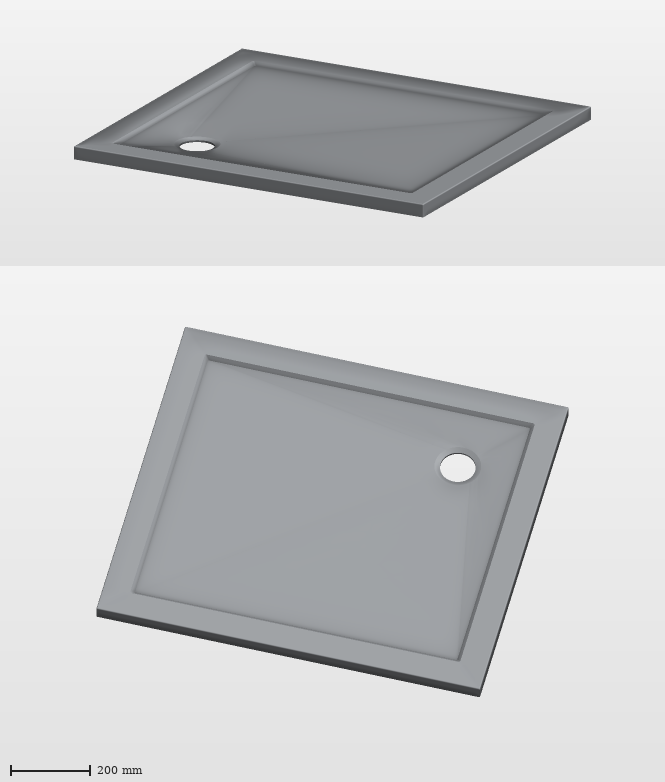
import cadquery as cq
import math

length = 1000.0
width = 900.0
height = 35.0
edge_round = 3.0
corner_round = 4.0
outline_round = 2.0

rim_width = 70.0
wall_run = 10.0
rim_drop = 2.0
wall_drop = 9.0
floor_inset = rim_width + wall_run
rim_z = height - rim_drop
floor_z = rim_z - wall_drop

drain_inset = 230.0
drain_x = drain_inset - length / 2
drain_y = drain_inset - width / 2
drain_radius = 45.0
recess_radius = 59.0
recess_z = 10.0
recess_drop = 5.0

crease_y = 49.0
crease_angle_right = 9.0
crease_angle_left = 168.0
CORNER_ANGLES = (45, 135, 225, 315)
seam_angle = 0.5


def ring_point(angle):
    """Point on the upper edge of the drain recess."""
    a = math.radians(angle)
    x = drain_x + recess_radius * math.cos(a)
    y = drain_y + recess_radius * math.sin(a)
    return cq.Vector(x, y, recess_z)


def ring_arc(start_angle, end_angle):
    """Stretch of the upper edge of the drain recess."""
    middle_angle = (start_angle + end_angle) / 2
    return cq.Edge.makeThreePointArc(ring_point(start_angle), ring_point(middle_angle), ring_point(end_angle))


def corner_arc(inset, z, angle):
    """Start, middle and end of one rounded corner, counterclockwise; angle points to the corner."""
    a = math.radians(angle)
    center_x = math.copysign(length / 2 - inset - corner_round, math.cos(a))
    center_y = math.copysign(width / 2 - inset - corner_round, math.sin(a))
    turns = [math.radians(angle + step) for step in (-45, 0, 45)]
    return [
        cq.Vector(center_x + corner_round * math.cos(t), center_y + corner_round * math.sin(t), z)
        for t in turns
    ]


def tray_loop(inset, z):
    """Rounded rectangle parallel to the tray outline."""
    corners = [corner_arc(inset, z, angle) for angle in CORNER_ANGLES]
    edges = []
    for i, corner in enumerate(corners):
        edges.append(cq.Edge.makeThreePointArc(*corner))
        edges.append(cq.Edge.makeLine(corner[2], corners[(i + 1) % len(corners)][0]))
    return cq.Wire.assembleEdges(edges)


def ruled_solid(lower, upper):
    """Solid with straight-ruled sides between two loops."""
    return cq.Workplane(cq.Solid.makeLoft([lower, upper], True))


def floor_panel(start, end, start_angle, end_angle):
    """Ruled panel from a straight stretch of wall foot to an arc of the drain recess."""
    arc = ring_arc(start_angle, end_angle)
    return cq.Face.makeRuledSurface(cq.Edge.makeLine(start, end), arc)


def corner_seam(corner, angle):
    """Narrow ruled blend from a rounded wall corner to the drain recess."""
    half = seam_angle / 2
    arc = ring_arc(angle - half, angle + half)
    return cq.Face.makeRuledSurface(cq.Edge.makeThreePointArc(*corner), arc)


def floor_cutter():
    """Space above the sloping floor, up to the foot of the wall."""
    half = seam_angle / 2
    corners = {angle: corner_arc(floor_inset, floor_z, angle) for angle in CORNER_ANGLES}
    crease_x = length / 2 - floor_inset
    right = cq.Vector(crease_x, crease_y, floor_z)
    left = cq.Vector(-crease_x, crease_y, floor_z)
    faces = [corner_seam(corner, angle) for angle, corner in corners.items()]
    faces += [
        floor_panel(right, corners[45][0], crease_angle_right, 45 - half),
        floor_panel(corners[45][2], corners[135][0], 45 + half, 135 - half),
        floor_panel(corners[135][2], left, 135 + half, crease_angle_left),
        floor_panel(left, corners[225][0], crease_angle_left, 225 - half),
        floor_panel(corners[225][2], corners[315][0], 225 + half, 315 - half),
        floor_panel(corners[315][2], right, 315 + half, 360 + crease_angle_right),
    ]
    seams = [angle + side for angle in corners for side in (-half, half)]
    stops = sorted(seams + [crease_angle_left, crease_angle_right, 360 + crease_angle_right])
    ring = [ring_arc(start, end) for start, end in zip(stops, stops[1:])]
    faces.append(cq.Face.makeFromWires(cq.Wire.assembleEdges(ring)))
    faces.append(cq.Face.makeFromWires(tray_loop(floor_inset, floor_z)))
    return cq.Workplane(cq.Solid.makeSolid(cq.Shell.makeShell(faces)).fix())


def drain_cutter():
    """Conical recess leading into a straight through hole."""
    cone = cq.Solid.makeCone(
        drain_radius, recess_radius, recess_drop,
        cq.Vector(drain_x, drain_y, recess_z - recess_drop),
    )
    hole = cq.Solid.makeCylinder(drain_radius, height, cq.Vector(drain_x, drain_y, 0))
    return cq.Workplane(cone).union(cq.Workplane(hole))


tray = cq.Workplane().box(length, width, height, centered=(True, True, False))
tray = tray.edges("|Z").fillet(outline_round).faces(">Z").edges().fillet(edge_round)
rim_slope = ruled_solid(tray_loop(rim_width, rim_z), tray_loop(edge_round, height))
wall = ruled_solid(tray_loop(floor_inset, floor_z), tray_loop(rim_width, rim_z))
result = tray.cut(rim_slope).cut(wall).cut(floor_cutter()).cut(drain_cutter())